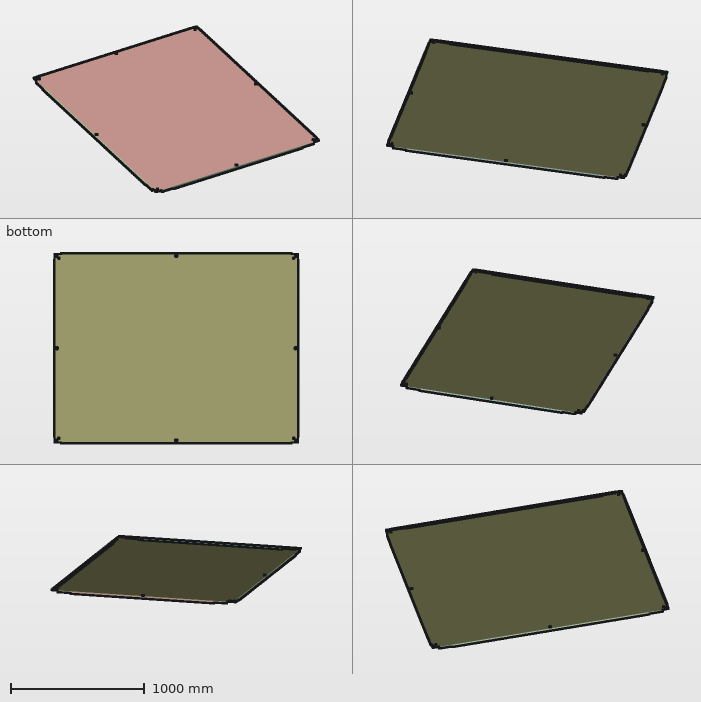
import cadquery as cq

length = 1827.0
width = 1422.0
height = 22.0

sheet = 3.0
end_fold_radius = 1.19
side_fold_radius = 2.5

flange_setback = 51.0
deep_setback = 152.0
shallow_depth = 15.5

mounting_diameter = 13.0
pilot_diameter = 7.1
middle_inset = 22.0
corner_inset_x = 20.0
corner_inset_y = 22.0
pilot_offset = 16.0


def flange(run, span, fold_radius):
    """Flange folded down along the -Y side of a sheet that is run long in X and span wide in Y."""
    outer_radius = fold_radius + sheet
    outer = -span / 2
    inner = outer + sheet
    fold_line = outer + outer_radius
    strip = (
        cq.Workplane("YZ")
        .moveTo(fold_line, 0)
        .radiusArc((outer, -outer_radius), -outer_radius)
        .lineTo(outer, -height)
        .lineTo(inner, -height)
        .lineTo(inner, -outer_radius)
        .radiusArc((fold_line, -sheet), fold_radius)
        .close()
        .extrude(run / 2 - flange_setback, both=True)
    )
    step_length = deep_setback - flange_setback
    step_x = run / 2 - flange_setback - step_length / 2
    steps = (
        cq.Workplane("XY")
        .workplane(offset=-height)
        .pushPoints([(-step_x, outer), (step_x, outer)])
        .rect(step_length, 4 * sheet)
        .extrude(height - shallow_depth)
    )
    return strip.cut(steps)


def flat_sheet():
    """Flat part of the panel, ending at the fold lines."""
    flat_length = length - 2 * (end_fold_radius + sheet)
    flat_width = width - 2 * (side_fold_radius + sheet)
    return cq.Workplane("XY").rect(flat_length, flat_width).extrude(-sheet)


def four_corners(inset_x, inset_y):
    """One point near each corner of the panel."""
    x = length / 2 - inset_x
    y = width / 2 - inset_y
    return [(-x, -y), (-x, y), (x, -y), (x, y)]


def side_middles(inset):
    """One point near the middle of each side of the panel."""
    x = length / 2 - inset
    y = width / 2 - inset
    return [(-x, 0), (x, 0), (0, -y), (0, y)]


def hole_pins(points, diameter):
    """Cylinders through the sheet at the given points."""
    return cq.Workplane("XY").pushPoints(points).circle(diameter / 2).extrude(-sheet)


result = flat_sheet()
side_flange = flange(length, width, side_fold_radius)
end_flange = flange(width, length, end_fold_radius)
for folded, turn in ((side_flange, 0), (end_flange, 90), (side_flange, 180), (end_flange, 270)):
    result = result.union(folded.rotate((0, 0, 0), (0, 0, 1), turn))

mounting_points = four_corners(corner_inset_x, corner_inset_y) + side_middles(middle_inset)
pilot_points = four_corners(corner_inset_x + pilot_offset, corner_inset_y + pilot_offset)
result = result.cut(hole_pins(mounting_points, mounting_diameter))
result = result.cut(hole_pins(pilot_points, pilot_diameter))